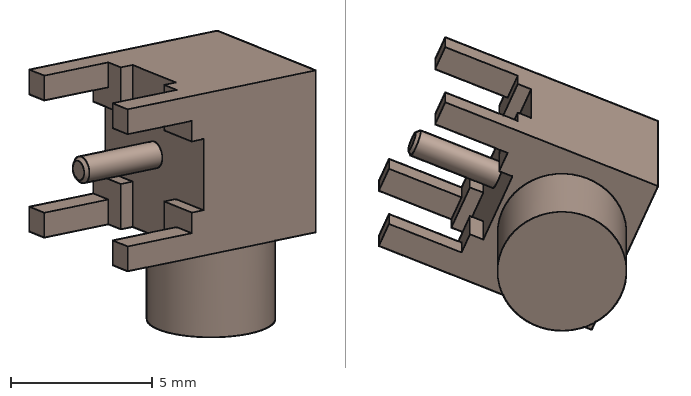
import cadquery as cq

body_width = 5.99
total_depth = 8.2
total_height = 9.5
body_depth = 4.89
standoff_height = 0.51
standoff_side = 1.68
leg_side = 0.92
barrel_diameter = 4.57
barrel_setback = 2.42
pin_diameter = 0.97
pin_chamfer = 0.13

half_width = body_width / 2
protrusion = total_depth - body_depth
barrel_length = total_height - body_width
barrel_y = body_depth - barrel_setback


def corner_post(side, length, x_sign, z_sign):
    """Square post flush with one corner of the housing, pointing toward -Y."""
    offset = half_width - side / 2
    return (
        cq.Workplane("XZ")
        .center(x_sign * offset, z_sign * offset)
        .rect(side, side)
        .extrude(length)
    )


result = cq.Workplane("XZ").rect(body_width, body_width).extrude(-body_depth)

for x_sign in (-1, 1):
    for z_sign in (-1, 1):
        result = result.union(corner_post(standoff_side, standoff_height, x_sign, z_sign))
        result = result.union(corner_post(leg_side, protrusion, x_sign, z_sign))

pin = (
    cq.Workplane("XZ")
    .circle(pin_diameter / 2)
    .extrude(protrusion)
    .faces("<Y")
    .chamfer(pin_chamfer)
)
result = result.union(pin)

barrel = (
    cq.Workplane("XY", origin=(0, barrel_y, -half_width))
    .circle(barrel_diameter / 2)
    .extrude(-barrel_length)
)
result = result.union(barrel)